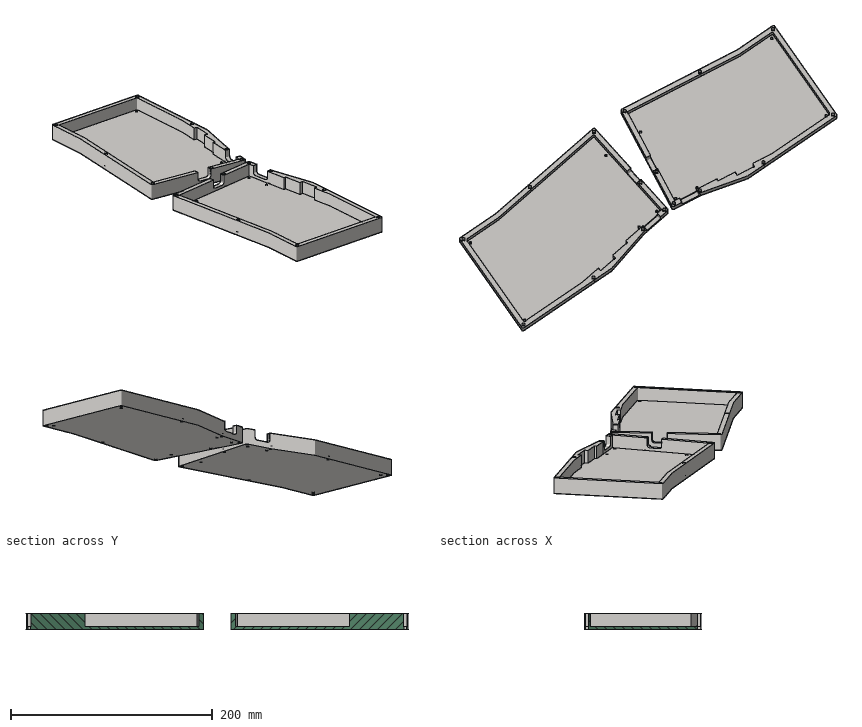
import cadquery as cq
import math

FLOOR = 3.1
WALL_HEIGHT = 13.0
HEIGHT = FLOOR + WALL_HEIGHT
WALL = 5.0
OUTER_X = -189.5
BACK_Y = 110.7
CORNER_RADIUS = 1.0
THUMB_CORNER_RADIUS = 1.5
INNER_CORNER_RADIUS = 1.5

TILT = math.radians(7.0)
ALONG = (math.cos(TILT), -math.sin(TILT))
ACROSS = (math.sin(TILT), math.cos(TILT))
FRONT_CORNER = (-16.0, -16.0)
SIDE_LENGTH = 111.0
THUMB_EDGE_LENGTH = 32.2
BACK_BEND_X = -82.0

COLUMN_PITCH = 19.5
FIRST_STEP_X = -55.0
OUTWARD_STEPS = (2.3, 3.8)
INWARD_STEP = 3.5

NOTCH_FLOOR = 6.0
NOTCH_RADIUS = 3.0
NOTCH_CUTTER_WIDTH = 4 * WALL
BACK_NOTCH_LENGTH = 19.0
BACK_NOTCH_OFFSET = 20.0
SIDE_NOTCH_LENGTH = 15.0
SIDE_NOTCH_OFFSET = 62.0

RIM_HOLE = 3.2
FLOOR_HOLE = 2.2
RIM_INSET = WALL / 2
CORNER_INSET = 3.0
MID_HOLE_X = -102.5
NOTCH_HOLE_GAP = 2.3
FLOOR_HOLE_INSET = 8.0
THUMB_FLOOR_HOLES = [(-35.0, 90.0), (-11.5, 87.0), (-21.0, 11.8)]


def shift(point, along=0.0, across=0.0):
    """Move a point in the tilted frame of the thumb end."""
    return (
        point[0] + along * ALONG[0] + across * ACROSS[0],
        point[1] + along * ALONG[1] + across * ACROSS[1],
    )


def tilted_y(point, x):
    """Y at the given X on the tilted line through a point."""
    return point[1] - (x - point[0]) * math.tan(TILT)


def tilted_x(point, y):
    """X at the given Y on the tilted line through a point."""
    return point[0] - (y - point[1]) / math.tan(TILT)


THUMB_CORNER = shift(FRONT_CORNER, across=SIDE_LENGTH)
THUMB_BEND = shift(THUMB_CORNER, along=-THUMB_EDGE_LENGTH)


def outer_outline():
    return [
        (OUTER_X, 0),
        (tilted_x(FRONT_CORNER, 0), 0),
        FRONT_CORNER,
        THUMB_CORNER,
        THUMB_BEND,
        (BACK_BEND_X, BACK_Y),
        (OUTER_X, BACK_Y),
    ]


def inner_outline():
    front_corner = shift(FRONT_CORNER, -WALL, WALL)
    thumb_corner = shift(THUMB_CORNER, -WALL, -WALL)
    inner_back_y = BACK_Y - WALL
    points = [
        (OUTER_X + WALL, WALL),
        (tilted_x(front_corner, WALL), WALL),
        front_corner,
        thumb_corner,
    ]
    step = (FIRST_STEP_X, tilted_y(thumb_corner, FIRST_STEP_X))
    for rise in OUTWARD_STEPS:
        points.append(step)
        raised = shift(step, across=rise)
        points.append(raised)
        step = shift(raised, along=-COLUMN_PITCH)
    lowered = shift(step, across=-INWARD_STEP)
    points += [
        step,
        lowered,
        (tilted_x(lowered, inner_back_y), inner_back_y),
        (OUTER_X + WALL, inner_back_y),
    ]
    return points


def fillet_uprights(body, corners, radius):
    """Round the vertical edges standing at the given corners."""
    for x, y in corners:
        body = body.edges(cq.selectors.NearestToPointSelector((x, y, HEIGHT / 2))).fillet(radius)
    return body


def shell():
    outer = cq.Workplane().polyline(outer_outline()).close().extrude(HEIGHT)
    outer = fillet_uprights(outer, [(OUTER_X, 0), (OUTER_X, BACK_Y)], CORNER_RADIUS)
    outer = fillet_uprights(outer, [FRONT_CORNER, THUMB_CORNER], THUMB_CORNER_RADIUS)

    cavity = cq.Workplane(origin=(0, 0, FLOOR)).polyline(inner_outline()).close().extrude(HEIGHT)
    inner_corners = [(OUTER_X + WALL, WALL), (OUTER_X + WALL, BACK_Y - WALL)]
    cavity = fillet_uprights(cavity, inner_corners, INNER_CORNER_RADIUS)
    return outer.cut(cavity)


def notch_cutter(length, centre, degrees):
    """Open-topped slot with rounded bottom corners, passing through one wall."""
    depth = HEIGHT - NOTCH_FLOOR
    return (
        cq.Workplane()
        .box(length, NOTCH_CUTTER_WIDTH, 2 * depth)
        .edges("|Y and <Z")
        .fillet(NOTCH_RADIUS)
        .rotate((0, 0, 0), (0, 0, 1), degrees)
        .translate((centre[0], centre[1], HEIGHT))
    )


def cut_notches(tray):
    tilt_degrees = math.degrees(TILT)
    back_centre = shift(THUMB_CORNER, -BACK_NOTCH_OFFSET, -WALL / 2)
    side_centre = shift(FRONT_CORNER, -WALL / 2, SIDE_NOTCH_OFFSET)
    tray = tray.cut(notch_cutter(BACK_NOTCH_LENGTH, back_centre, -tilt_degrees))
    return tray.cut(notch_cutter(SIDE_NOTCH_LENGTH, side_centre, 90 - tilt_degrees))


def rim_hole_places():
    back_notch_end = BACK_NOTCH_OFFSET + BACK_NOTCH_LENGTH / 2
    side_notch_end = SIDE_NOTCH_OFFSET + SIDE_NOTCH_LENGTH / 2
    front_wall_middle = shift(FRONT_CORNER, across=RIM_INSET)
    return [
        (OUTER_X + CORNER_INSET, CORNER_INSET),
        (OUTER_X + CORNER_INSET, BACK_Y - CORNER_INSET),
        shift(FRONT_CORNER, -CORNER_INSET, CORNER_INSET),
        shift(THUMB_CORNER, -CORNER_INSET, -CORNER_INSET),
        (MID_HOLE_X, BACK_Y - RIM_INSET),
        (MID_HOLE_X, tilted_y(front_wall_middle, MID_HOLE_X)),
        shift(THUMB_CORNER, -back_notch_end - NOTCH_HOLE_GAP, -RIM_INSET),
        shift(FRONT_CORNER, -RIM_INSET, side_notch_end + NOTCH_HOLE_GAP),
    ]


def floor_hole_places():
    return [
        (OUTER_X + FLOOR_HOLE_INSET, FLOOR_HOLE_INSET),
        (OUTER_X + FLOOR_HOLE_INSET, BACK_Y - FLOOR_HOLE_INSET),
        *THUMB_FLOOR_HOLES,
    ]


def drill(tray, places, diameter, bottom, top):
    drills = (
        cq.Workplane(origin=(0, 0, bottom))
        .pushPoints(places)
        .circle(diameter / 2)
        .extrude(top - bottom)
    )
    return tray.cut(drills)


def left_tray():
    tray = cut_notches(shell())
    tray = drill(tray, rim_hole_places(), RIM_HOLE, FLOOR, HEIGHT)
    return drill(tray, rim_hole_places() + floor_hole_places(), FLOOR_HOLE, 0, FLOOR)


left_half = left_tray()
right_half = left_half.mirror("YZ")

result = cq.Compound.makeCompound([left_half.val(), right_half.val()])